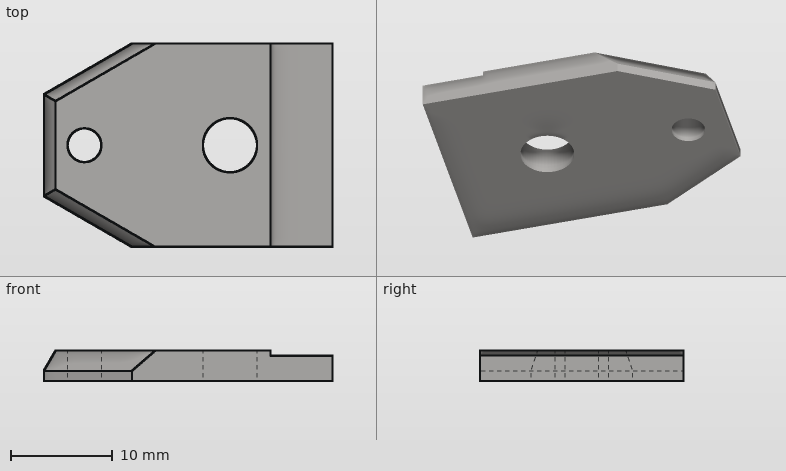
import cadquery as cq
import math

length = 28.4
width = 20.0
thickness = 3.0

tip_width = 10.0
flank_angle = 30.0

land_height = 1.0
bevel_angle = 30.0

step_length = 6.1
step_depth = 0.5

small_hole_diameter = 3.3
small_hole_x = 4.0
large_hole_diameter = 5.3
large_hole_x = 18.3

margin = 5.0


def plate_blank():
    return cq.Workplane("XY").box(length, width, thickness, centered=(False, True, False))


def nose_form():
    """Oversized nose shape: a vertical land with a tapered, bevelled top."""
    half_tip = tip_width / 2
    half_form = width / 2 + margin
    flank_end_x = (half_form - half_tip) / math.tan(math.radians(flank_angle))
    form_end_x = length + margin
    outline = [
        (0, -half_tip),
        (flank_end_x, -half_form),
        (form_end_x, -half_form),
        (form_end_x, half_form),
        (flank_end_x, half_form),
        (0, half_tip),
    ]
    land = cq.Workplane("XY").polyline(outline).close().extrude(land_height)
    bevelled_top = (
        cq.Workplane("XY", origin=(0, 0, land_height))
        .polyline(outline)
        .close()
        .extrude(thickness - land_height, taper=bevel_angle)
    )
    return land.union(bevelled_top)


def rear_step():
    return cq.Workplane("XY", origin=(length - step_length, 0, thickness - step_depth)).box(
        step_length, width, step_depth, centered=(False, True, False)
    )


def through_hole(center_x, diameter):
    return cq.Workplane("XY").center(center_x, 0).circle(diameter / 2).extrude(thickness)


result = plate_blank().intersect(nose_form()).cut(rear_step())
for center_x, diameter in [
    (small_hole_x, small_hole_diameter),
    (large_hole_x, large_hole_diameter),
]:
    result = result.cut(through_hole(center_x, diameter))